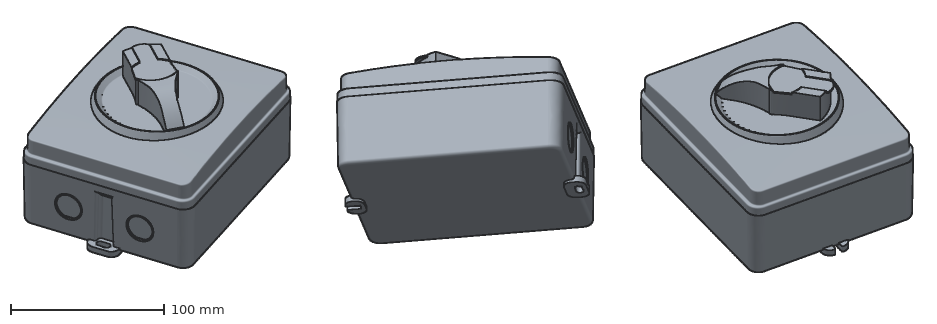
import cadquery as cq
import math

DRAFT = 0.9
SEAM_WIDTH = 125.0
SEAM_LENGTH = 150.2
BASE_CORNER_RADIUS = 8.8
BASE_BOTTOM_Z = 2.0
SEAM_Z = 50.2
BOTTOM_FILLET = 2.4

OVERCUT = 1.6
PICK_MARGIN = 0.2

SEAM_STEP = 0.2
FLANGE_CORNER_RADIUS = 9.0
FLANGE_TOP_Z = 56.6
FLANGE_FILLET = 1.1
WALL_FOOT_FILLET = 1.0
WALL_INSET = 2.2
CROWN_Z = 72.2
CROWN_RADIUS = 640.0
TOP_FILLET = 1.0

RING_TOP_Z = 75.8
RING_TOP_RADIUS = 41.1
RING_SLOPE = 30.0
RIM_CHAMFER = 0.5
DISH_TOP_RADIUS = 40.0
DISH_FLOOR_RADIUS = 35.8
DISH_FLOOR_Z = 72.6
DISH_FILLET = 1.3

GRIP_ANGLE = -45.0
GRIP_TOP_Z = 92.3
GRIP_HALF_WIDTH = 13.1
GRIP_END_RADIUS = 35.0
HUB_START_U = -12.6
HUB_CORNER_U = -1.0
HUB_CORNER_W = 14.2
HUB_NOSE = (0.6, 14.4)
TAIL_START = (1.8, 13.5)
TAIL_WAIST = (12.6, 8.5)
TAIL_STRAIGHT_U = 32.5
TAIL_END_U = 39.5
TAIL_HALF_WIDTH = 6.0
TAIL_SLOPE_START_U = 12.6
TAIL_SLOPE_MIDDLE = (26.2, 87.4)
TAIL_END_Z = 76.5

INLAY_TOP_Z = 91.5
INLAY_BOTTOM_Z = 90.4
INLAY_HALF_WIDTH = 6.0
INLAY_END_U = -37.8
INLAY_END_SIDE_U = -35.7
INLAY_DISC_RADIUS = 18.7
INLAY_FRONT_U = 5.1

TAB_TOP_Z = 4.5
TAB_INNER_Y = 66.2
TAB_FILLET = 6.0
FRONT_TAB_WIDTH = 23.0
FRONT_TAB_END_Y = -81.0
FRONT_SLOT_LENGTH = 10.0
FRONT_SLOT_WIDTH = 4.8
FRONT_SLOT_Y = -75.4
REAR_TAB_WIDTH = 19.2
REAR_TAB_END_Y = 79.0
REAR_SLOT_WIDTH = 4.8
REAR_SLOT_END_Y = 69.5
REAR_TIP_FILLET = 1.0

CHANNEL_TOP_Z = 43.2
CHANNEL_FLOOR_TOP_Z = 38.7
CHANNEL_DEPTH = 5.5
CHANNEL_TOP_HALF = 5.1
CHANNEL_BOTTOM_HALF = 6.0
CHANNEL_FLOOR_FILLET = 2.4
CHANNEL_MOUTH_FILLET = 1.8

KNOCKOUT_X = 26.2
KNOCKOUT_Z = 25.3
KNOCKOUT_RADIUS = 10.0
KNOCKOUT_FLOOR_RADIUS = 9.0
KNOCKOUT_DEPTH = 1.0
KNOCKOUT_RIM_DEPTH = 0.5
KNOCKOUT_FLAT = 8.3


def draft_inset(height):
    """Distance a drafted wall moves inward over a height."""
    return height * math.tan(math.radians(DRAFT))


def rounded_block(inset, corner_radius, z, height):
    """Drafted rounded block starting at z and narrowing along the signed height."""
    outline = (
        cq.Sketch()
        .rect(SEAM_WIDTH - 2 * inset, SEAM_LENGTH - 2 * inset)
        .vertices()
        .fillet(corner_radius)
    )
    return cq.Workplane("XY").workplane(offset=z).placeSketch(outline).extrude(height, taper=DRAFT)


def front_face_y(z):
    """Y of the drafted front wall of the base at height z."""
    return -SEAM_LENGTH / 2 + draft_inset(SEAM_Z - z)


def channel_tool():
    """Tapered upright channel with a sloping top and rounded floor corners."""
    mouth_y = -SEAM_LENGTH / 2 - OVERCUT
    floor_y = front_face_y(CHANNEL_TOP_Z) + CHANNEL_DEPTH
    front_shape = (
        cq.Workplane("XZ", origin=(0, floor_y, 0))
        .polyline([
            (-CHANNEL_BOTTOM_HALF, TAB_TOP_Z),
            (CHANNEL_BOTTOM_HALF, TAB_TOP_Z),
            (CHANNEL_TOP_HALF, CHANNEL_TOP_Z),
            (-CHANNEL_TOP_HALF, CHANNEL_TOP_Z),
        ])
        .close()
        .extrude(floor_y - mouth_y)
    )
    front_shape = front_shape.faces(">Y").edges("not |X").fillet(CHANNEL_FLOOR_FILLET)
    slope_start_y = front_face_y(CHANNEL_TOP_Z) + CHANNEL_MOUTH_FILLET
    above_slope = (
        cq.Workplane("YZ")
        .polyline([
            (slope_start_y, CHANNEL_TOP_Z),
            (floor_y, CHANNEL_FLOOR_TOP_Z),
            (floor_y, CHANNEL_TOP_Z),
        ])
        .close()
        .extrude(CHANNEL_BOTTOM_HALF, both=True)
    )
    return front_shape.cut(above_slope)


def knockout_tool(x):
    """Shallow round recess with a deeper floor that has a flat at the bottom."""
    face_y = front_face_y(KNOCKOUT_Z)
    rim = (
        cq.Workplane("XZ", origin=(x, face_y + KNOCKOUT_RIM_DEPTH, KNOCKOUT_Z))
        .circle(KNOCKOUT_RADIUS)
        .extrude(OVERCUT)
    )
    floor = (
        cq.Workplane("XZ", origin=(x, face_y + KNOCKOUT_DEPTH, KNOCKOUT_Z))
        .circle(KNOCKOUT_FLOOR_RADIUS)
        .extrude(OVERCUT)
    )
    flat_tool_depth = 2 * (OVERCUT + KNOCKOUT_DEPTH)
    below_flat = (
        cq.Workplane("XY")
        .box(2 * KNOCKOUT_RADIUS, flat_tool_depth, KNOCKOUT_RADIUS, centered=(True, True, False))
        .translate((x, face_y, KNOCKOUT_Z - KNOCKOUT_FLAT - KNOCKOUT_RADIUS))
    )
    return rim.union(floor.cut(below_flat))


def tab_slab(width, y_from, y_to):
    """Fixing tab with rounded corners."""
    return (
        cq.Workplane("XY")
        .center(0, (y_from + y_to) / 2)
        .rect(width, abs(y_to - y_from))
        .extrude(TAB_TOP_Z)
        .edges("|Z")
        .fillet(TAB_FILLET)
    )


def front_slot():
    """Closed screw slot in the front tab."""
    return (
        cq.Workplane("XY")
        .center(0, FRONT_SLOT_Y)
        .slot2D(FRONT_SLOT_LENGTH, FRONT_SLOT_WIDTH)
        .extrude(TAB_TOP_Z)
    )


def front_tab():
    """Front tab before its slot is cut."""
    return tab_slab(FRONT_TAB_WIDTH, FRONT_TAB_END_Y, -TAB_INNER_Y)


def rear_tab():
    """Tab split by an open slot into two ears with rounded tips."""
    slot_length = REAR_TAB_END_Y - REAR_SLOT_END_Y
    slot = (
        cq.Workplane("XY")
        .center(0, REAR_SLOT_END_Y + slot_length / 2)
        .rect(REAR_SLOT_WIDTH, slot_length)
        .extrude(TAB_TOP_Z)
    )
    tab = tab_slab(REAR_TAB_WIDTH, TAB_INNER_Y, REAR_TAB_END_Y).cut(slot)
    tip_x = REAR_SLOT_WIDTH / 2
    for x in (-tip_x, tip_x):
        tip = cq.selectors.NearestToPointSelector((x, REAR_TAB_END_Y, TAB_TOP_Z / 2))
        tab = tab.edges(tip).fillet(REAR_TIP_FILLET)
    return tab


def channel_mouth():
    """Selects the two upright edges and the top edge of the channel mouth."""
    return cq.selectors.BoxSelector(
        (-CHANNEL_BOTTOM_HALF, -SEAM_LENGTH / 2, TAB_TOP_Z + OVERCUT),
        (CHANNEL_BOTTOM_HALF, front_face_y(TAB_TOP_Z) - PICK_MARGIN, CHANNEL_TOP_Z + OVERCUT),
    )


def make_base():
    """Base: drafted solid block with channel, knockouts and fixing tabs."""
    base = rounded_block(0, BASE_CORNER_RADIUS, SEAM_Z, BASE_BOTTOM_Z - SEAM_Z)
    base = base.faces("<Z").edges().fillet(BOTTOM_FILLET)
    base = base.cut(channel_tool())
    base = base.edges(channel_mouth()).fillet(CHANNEL_MOUTH_FILLET)
    for x in (-KNOCKOUT_X, KNOCKOUT_X):
        base = base.cut(knockout_tool(x))
    return base.union(front_tab()).union(rear_tab()).cut(front_slot())


def upper_wall(inset):
    """Raised wall of the cover under a top crowned along Y."""
    corner_radius = FLANGE_CORNER_RADIUS + SEAM_STEP - inset
    wall = rounded_block(inset, corner_radius, FLANGE_TOP_Z, CROWN_Z + OVERCUT - FLANGE_TOP_Z)
    crown = (
        cq.Workplane("YZ", origin=(-SEAM_WIDTH, 0, 0))
        .center(0, CROWN_Z - CROWN_RADIUS)
        .circle(CROWN_RADIUS)
        .extrude(2 * SEAM_WIDTH)
    )
    return wall.intersect(crown).faces(">Z").edges().fillet(TOP_FILLET)


def cover_shell():
    """Flange and raised wall, blended where they meet."""
    flange_height = FLANGE_TOP_Z - SEAM_Z
    wall_inset = SEAM_STEP + draft_inset(flange_height) + WALL_INSET
    flange = rounded_block(SEAM_STEP, FLANGE_CORNER_RADIUS, SEAM_Z, flange_height)
    flange = flange.faces(">Z").edges().fillet(FLANGE_FILLET)
    half_width = SEAM_WIDTH / 2 - wall_inset + PICK_MARGIN
    half_length = SEAM_LENGTH / 2 - wall_inset + PICK_MARGIN
    wall_foot = cq.selectors.BoxSelector(
        (-half_width, -half_length, FLANGE_TOP_Z - PICK_MARGIN),
        (half_width, half_length, FLANGE_TOP_Z + PICK_MARGIN),
    )
    return flange.union(upper_wall(wall_inset)).edges(wall_foot).fillet(WALL_FOOT_FILLET)


def ring_cone():
    """Solid cone of the dish ring, reaching down into the cover."""
    slope_height = RING_TOP_Z - RIM_CHAMFER - FLANGE_TOP_Z
    foot_radius = RING_TOP_RADIUS + slope_height * math.tan(math.radians(RING_SLOPE))
    return (
        cq.Workplane("XZ")
        .moveTo(0, FLANGE_TOP_Z)
        .lineTo(foot_radius, FLANGE_TOP_Z)
        .lineTo(RING_TOP_RADIUS, RING_TOP_Z - RIM_CHAMFER)
        .lineTo(RING_TOP_RADIUS - RIM_CHAMFER, RING_TOP_Z)
        .lineTo(0, RING_TOP_Z)
        .close()
        .revolve(360, (0, 0), (0, 1))
    )


def dish():
    """Conical hollow inside the ring with a rounded floor corner."""
    hollow = (
        cq.Workplane("XZ")
        .moveTo(0, DISH_FLOOR_Z)
        .lineTo(DISH_FLOOR_RADIUS, DISH_FLOOR_Z)
        .lineTo(DISH_TOP_RADIUS, RING_TOP_Z)
        .lineTo(0, RING_TOP_Z)
        .close()
        .revolve(360, (0, 0), (0, 1))
    )
    return hollow.faces("<Z").edges().fillet(DISH_FILLET)


def grip_blank():
    """Full-height grip: round end, flaring hub and waisted tail."""
    end_angle = math.asin(GRIP_HALF_WIDTH / GRIP_END_RADIUS)
    end_u = -GRIP_END_RADIUS * math.cos(end_angle)
    end_middle = (-GRIP_END_RADIUS * math.cos(end_angle / 2), GRIP_END_RADIUS * math.sin(end_angle / 2))
    flare_middle = (
        (HUB_START_U + HUB_CORNER_U) / 2,
        GRIP_HALF_WIDTH + (HUB_CORNER_W - GRIP_HALF_WIDTH) / 4,
    )
    half = (
        cq.Workplane("XY", origin=(0, 0, DISH_FLOOR_Z))
        .moveTo(-GRIP_END_RADIUS, 0)
        .threePointArc(end_middle, (end_u, GRIP_HALF_WIDTH))
        .lineTo(HUB_START_U, GRIP_HALF_WIDTH)
        .threePointArc(flare_middle, (HUB_CORNER_U, HUB_CORNER_W))
        .threePointArc(HUB_NOSE, TAIL_START)
        .threePointArc(TAIL_WAIST, (TAIL_STRAIGHT_U, TAIL_HALF_WIDTH))
        .lineTo(TAIL_END_U, TAIL_HALF_WIDTH)
        .lineTo(TAIL_END_U, 0)
        .close()
        .extrude(GRIP_TOP_Z - DISH_FLOOR_Z)
    )
    return half.union(half.mirror("XZ"))


def tail_slope():
    """Space above the curved slope of the tail."""
    above_z = GRIP_TOP_Z + OVERCUT
    return (
        cq.Workplane("XZ")
        .moveTo(TAIL_SLOPE_START_U, GRIP_TOP_Z)
        .threePointArc(TAIL_SLOPE_MIDDLE, (TAIL_END_U, TAIL_END_Z))
        .lineTo(TAIL_END_U, above_z)
        .lineTo(TAIL_SLOPE_START_U, above_z)
        .close()
        .extrude(HUB_CORNER_W, both=True)
    )


def inlay_outline(z):
    """Plan outline of the inlay: a bar with a rounded end joined to a round hub."""
    bar_w = INLAY_HALF_WIDTH
    disc_u = -math.sqrt(INLAY_DISC_RADIUS**2 - bar_w**2)
    flank_u = -math.sqrt(INLAY_DISC_RADIUS**2 - GRIP_HALF_WIDTH**2)
    angle = (math.atan2(bar_w, disc_u) + math.atan2(GRIP_HALF_WIDTH, flank_u)) / 2
    disc_middle_u = INLAY_DISC_RADIUS * math.cos(angle)
    disc_middle_w = INLAY_DISC_RADIUS * math.sin(angle)
    return (
        cq.Workplane("XY", origin=(0, 0, z))
        .moveTo(INLAY_END_SIDE_U, -bar_w)
        .threePointArc((INLAY_END_U, 0), (INLAY_END_SIDE_U, bar_w))
        .lineTo(disc_u, bar_w)
        .threePointArc((disc_middle_u, disc_middle_w), (flank_u, GRIP_HALF_WIDTH))
        .lineTo(HUB_CORNER_U, HUB_CORNER_W)
        .threePointArc((INLAY_FRONT_U, 0), (HUB_CORNER_U, -HUB_CORNER_W))
        .lineTo(flank_u, -GRIP_HALF_WIDTH)
        .threePointArc((disc_middle_u, -disc_middle_w), (disc_u, -bar_w))
        .close()
    )


def grip():
    """Grip with its sunken inlay, turned to the switch position."""
    inlay = inlay_outline(INLAY_BOTTOM_Z).extrude(INLAY_TOP_Z - INLAY_BOTTOM_Z)
    sunken_top = inlay_outline(INLAY_TOP_Z).extrude(GRIP_TOP_Z - INLAY_TOP_Z)
    body = grip_blank().cut(tail_slope()).cut(sunken_top).union(inlay)
    return body.rotate((0, 0, 0), (0, 0, 1), GRIP_ANGLE)


def make_cover():
    """Cover with its dish ring and the grip standing in the dish."""
    return cover_shell().union(ring_cone()).cut(dish()).union(grip())


base = make_base()
cover = make_cover()
result = cq.Compound.makeCompound([base.val(), cover.val()])